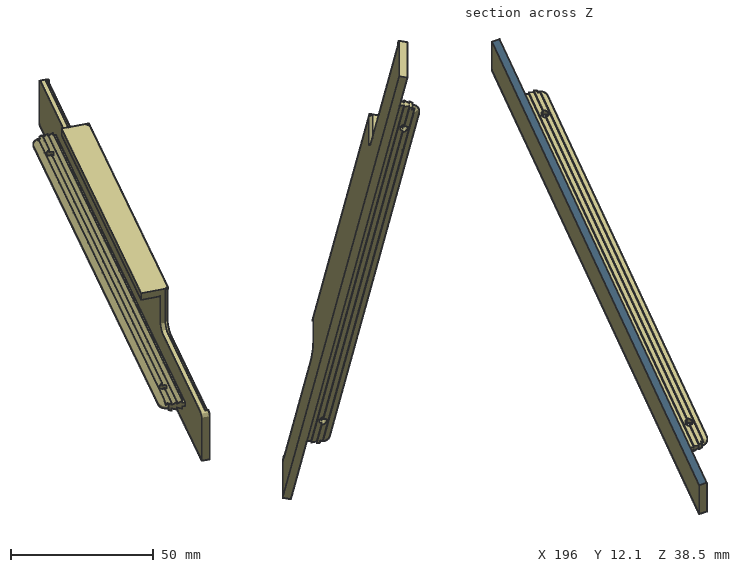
import cadquery as cq
import math

plate_length = 196.0
plate_thickness = 3.0
wing_height = 20.8
wing_corner_radius = 2.0

tab_length = 96.0
tab_top = 38.5
tab_root_radius = 3.5
flange_depth = 10.0
flange_thickness = 3.0
back_bevel = 1.2

flange_lip = 0.2

rib_length = 156.0
rib_height = 10.1
rib_reach = 12.1
rib_corner_radius = 3.0
first_barb = 4.05
barb_pitch = 1.95
barb_count = 4
barb_half_height = 1.8
web_half_height = 0.8

nose_angle = math.radians(30)
nose_radius = 1.0

hole_diameter = 2.6
hole_spacing = 136.0
hole_distance = 8.1

last_barb = first_barb + barb_pitch * (barb_count - 1)
nose_half_height = nose_radius * math.cos(nose_angle)
nose_start = last_barb + (barb_half_height - nose_half_height) / math.tan(nose_angle)

half_tab = tab_length / 2
half_body = plate_length / 2 - wing_corner_radius


def make_flange_layer(bottom, top):
    """Slab of the flange between two heights, reaching forward from the back of the tab."""
    return (
        cq.Workplane("XY")
        .box(tab_length, flange_depth, top - bottom, centered=(True, False, False))
        .translate((0, -flange_depth, bottom))
    )


def make_body():
    """Tab, flange and straight wings, bevelled along the wing tops and tab sides at the back."""
    root_start = half_tab + tab_root_radius
    root_end = wing_height + tab_root_radius
    lip_base = tab_top - flange_lip
    plate = (
        cq.Workplane("XZ")
        .moveTo(-half_body, 0)
        .lineTo(half_body, 0)
        .lineTo(half_body, wing_height)
        .lineTo(root_start, wing_height)
        .radiusArc((half_tab, root_end), tab_root_radius)
        .lineTo(half_tab, lip_base)
        .lineTo(-half_tab, lip_base)
        .lineTo(-half_tab, root_end)
        .radiusArc((-root_start, wing_height), tab_root_radius)
        .lineTo(-half_body, wing_height)
        .close()
        .extrude(plate_thickness)
    )
    body = plate.union(make_flange_layer(tab_top - flange_thickness, lip_base))
    wing_tops = cq.selectors.BoxSelector(
        (-half_body, -back_bevel / 2, wing_height - back_bevel / 2),
        (half_body, back_bevel / 2, wing_height + back_bevel / 2),
    )
    body = body.faces(">Y").edges("|X").edges(wing_tops).chamfer(back_bevel)
    return body.union(make_flange_layer(lip_base, tab_top))


def make_wing_end(side):
    """Narrow end of a wing with its upper corner rounded; side is -1 or 1."""
    end = (
        cq.Workplane("XZ")
        .moveTo(side * half_body, 0)
        .lineTo(side * plate_length / 2, 0)
        .lineTo(side * plate_length / 2, wing_height - wing_corner_radius)
        .radiusArc((side * half_body, wing_height), -side * wing_corner_radius)
        .close()
    )
    return end.extrude(plate_thickness)


def make_rib_section():
    """Saw-tooth section in the YZ plane, ending in a rounded nose."""
    upper = [(-plate_thickness, web_half_height), (-first_barb, web_half_height)]
    for index in range(barb_count - 1):
        barb = first_barb + index * barb_pitch
        upper.append((-barb, barb_half_height))
        upper.append((-barb - barb_pitch, web_half_height))
    upper.append((-last_barb, barb_half_height))
    upper.append((-nose_start, nose_half_height))
    lower = [(y, -z) for y, z in reversed(upper)]
    return (
        cq.Workplane("YZ")
        .polyline(upper)
        .threePointArc((-rib_reach, 0), lower[0])
        .polyline(lower, includeCurrent=False)
        .close()
    )


def make_corner_waste(side):
    """Material outside the nose where it turns round one front corner of the rib."""
    corner_x = rib_length / 2 - rib_corner_radius
    corner_y = rib_reach - rib_corner_radius
    block_y = corner_y + rib_corner_radius / 2
    turned_nose = (
        cq.Workplane("YZ")
        .moveTo(-corner_y, barb_half_height)
        .lineTo(-last_barb, barb_half_height)
        .lineTo(-nose_start, nose_half_height)
        .threePointArc((-rib_reach, 0), (-nose_start, -nose_half_height))
        .lineTo(-last_barb, -barb_half_height)
        .lineTo(-corner_y, -barb_half_height)
        .close()
        .revolve(360, (-corner_y, 0), (-corner_y, 1))
        .translate((side * corner_x, 0, 0))
    )
    corner_block = (
        cq.Workplane("XY")
        .box(rib_corner_radius, rib_corner_radius, 2 * barb_half_height)
        .translate((side * (corner_x + rib_corner_radius / 2), -block_y, 0))
    )
    return corner_block.cut(turned_nose)


def make_rib():
    """Long barbed rib, its nose turned round the front corners and a hole near each end."""
    rib = make_rib_section().extrude(rib_length / 2, both=True)
    for side in (-1, 1):
        hole = (
            cq.Workplane("XY")
            .center(side * hole_spacing / 2, -hole_distance)
            .circle(hole_diameter / 2)
            .extrude(barb_half_height, both=True)
        )
        rib = rib.cut(make_corner_waste(side)).cut(hole)
    return rib.translate((0, 0, rib_height))


result = make_body().union(make_rib())
for wing_side in (-1, 1):
    result = result.union(make_wing_end(wing_side))